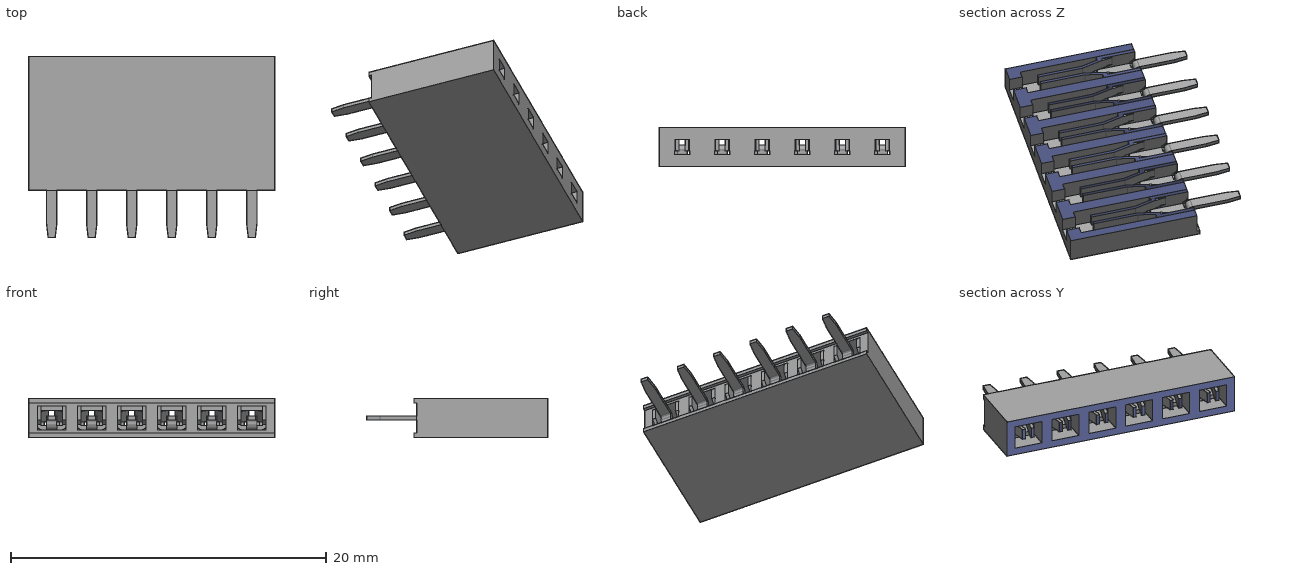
import cadquery as cq

PIN_COUNT = 6
PITCH = 2.54
PIN_X = [(i - (PIN_COUNT - 1) / 2) * PITCH for i in range(PIN_COUNT)]

END_MARGIN = 1.47
HOUSING_WIDTH = (PIN_COUNT - 1) * PITCH + 2 * END_MARGIN
HOUSING_HEIGHT = 2.5
HOUSING_LENGTH = 8.5
LIP_DEPTH = 0.18
LIP_THICKNESS = 0.3
BODY_LENGTH = HOUSING_LENGTH - LIP_DEPTH

POCKET_WIDTH = 1.82
POCKET_HEIGHT = 1.5
END_WALL = 0.85
POCKET_DEPTH = BODY_LENGTH - END_WALL
ENTRY_SIZE = 0.94

BASE_THICKNESS = 0.27
WALL_THICKNESS = 0.22
U_CORNER_RADIUS = 0.27
FLOOR_Z = -POCKET_HEIGHT / 2
BASE_TOP_Z = FLOOR_Z + BASE_THICKNESS
WALL_TOP_Z = POCKET_HEIGHT / 2
WALL_INNER_X = POCKET_WIDTH / 2 - WALL_THICKNESS
U_LENGTH = 2.5

LOW_CORNER_Z = -0.41
RAMP_TOP_Z = -0.13

PIN_WIDTH = 0.66
PIN_LENGTH = 3.0
TIP_WIDTH = 0.46
TIP_LENGTH = 0.85
TIP_Y = -(LIP_DEPTH + PIN_LENGTH)
BEND_INNER_RADIUS = 0.05
BEND_OUTER_RADIUS = BEND_INNER_RADIUS + BASE_THICKNESS
DROP_FRONT_Y = 0.03
DROP_BACK_Y = DROP_FRONT_Y + BASE_THICKNESS
BASE_FRONT_Y = DROP_FRONT_Y + BEND_OUTER_RADIUS

TINE_ROOT_Y = 1.5
TINE_KNEE_Y = 3.6
TINE_END_Y = 6.5
TINE_GAP = 0.38
TINE_BOTTOM_Z = -0.25
TINE_ROOT_TOP_Z = 0.36
TINE_TOP_Z = 0.46
TINE_RISE_LENGTH = 0.7


def box(width, length, height, x, front_y, z):
    """Box centred on x and z, running from front_y toward +Y."""
    return cq.Workplane("XY").box(width, length, height).translate((x, front_y + length / 2, z))


def side_plate(profile, width):
    """Extrude a closed YZ profile symmetrically across X."""
    return profile.close().extrude(width / 2, both=True)


def make_housing():
    housing = box(HOUSING_WIDTH, HOUSING_LENGTH, HOUSING_HEIGHT, 0, -LIP_DEPTH, 0)
    recess_height = HOUSING_HEIGHT - 2 * LIP_THICKNESS
    housing = housing.cut(box(HOUSING_WIDTH, LIP_DEPTH, recess_height, 0, -LIP_DEPTH, 0))
    for x in PIN_X:
        housing = housing.cut(box(POCKET_WIDTH, POCKET_DEPTH, POCKET_HEIGHT, x, 0, 0))
        housing = housing.cut(box(ENTRY_SIZE, BODY_LENGTH, ENTRY_SIZE, x, 0, 0))
    return housing


def make_u_sheet():
    """Base and side walls, with the side walls' front edge trimmed to a ramp."""
    channel = box(POCKET_WIDTH, U_LENGTH, POCKET_HEIGHT, 0, 0, 0)
    channel = channel.edges("|Y and <Z").fillet(U_CORNER_RADIUS)
    inner_height = WALL_TOP_Z - BASE_TOP_Z
    inner_z = (WALL_TOP_Z + BASE_TOP_Z) / 2
    channel = channel.cut(box(2 * WALL_INNER_X, U_LENGTH, inner_height, 0, 0, inner_z))
    front_relief = (
        cq.Workplane("YZ")
        .moveTo(0, FLOOR_Z)
        .lineTo(BASE_FRONT_Y, FLOOR_Z)
        .lineTo(BASE_FRONT_Y, LOW_CORNER_Z)
        .lineTo(0, RAMP_TOP_Z)
    )
    return channel.cut(side_plate(front_relief, POCKET_WIDTH))


def make_solder_pin():
    """Straight pin, bent down to the pocket floor and back into the base."""
    pin_top = BASE_THICKNESS / 2
    pin_bottom = -BASE_THICKNESS / 2
    profile = (
        cq.Workplane("YZ")
        .moveTo(TIP_Y, pin_bottom)
        .lineTo(DROP_FRONT_Y - BEND_INNER_RADIUS, pin_bottom)
        .radiusArc((DROP_FRONT_Y, pin_bottom - BEND_INNER_RADIUS), BEND_INNER_RADIUS)
        .lineTo(DROP_FRONT_Y, FLOOR_Z + BEND_OUTER_RADIUS)
        .radiusArc((BASE_FRONT_Y, FLOOR_Z), -BEND_OUTER_RADIUS)
        .lineTo(BASE_FRONT_Y, BASE_TOP_Z)
        .radiusArc((DROP_BACK_Y, BASE_TOP_Z + BEND_INNER_RADIUS), BEND_INNER_RADIUS)
        .lineTo(DROP_BACK_Y, pin_top - BEND_OUTER_RADIUS)
        .radiusArc((DROP_BACK_Y - BEND_OUTER_RADIUS, pin_top), -BEND_OUTER_RADIUS)
        .lineTo(TIP_Y, pin_top)
    )
    taper_y = TIP_Y + TIP_LENGTH
    outline = (
        cq.Workplane("XY")
        .moveTo(-TIP_WIDTH / 2, TIP_Y)
        .lineTo(TIP_WIDTH / 2, TIP_Y)
        .lineTo(PIN_WIDTH / 2, taper_y)
        .lineTo(PIN_WIDTH / 2, BASE_FRONT_Y)
        .lineTo(-PIN_WIDTH / 2, BASE_FRONT_Y)
        .lineTo(-PIN_WIDTH / 2, taper_y)
        .close()
        .extrude(HOUSING_HEIGHT / 2, both=True)
    )
    return side_plate(profile, PIN_WIDTH).intersect(outline)


def make_tine():
    """Spring tine on the +X side, leaning inward to a straight contact arm."""
    contact_x = TINE_GAP / 2
    plan = (
        cq.Workplane("XY")
        .moveTo(WALL_INNER_X, TINE_ROOT_Y)
        .lineTo(contact_x, TINE_KNEE_Y)
        .lineTo(contact_x, TINE_END_Y)
        .lineTo(contact_x + WALL_THICKNESS, TINE_END_Y)
        .lineTo(contact_x + WALL_THICKNESS, TINE_KNEE_Y)
        .lineTo(WALL_INNER_X + WALL_THICKNESS, TINE_ROOT_Y)
        .close()
        .extrude(POCKET_HEIGHT / 2, both=True)
    )
    profile = (
        cq.Workplane("YZ")
        .moveTo(TINE_ROOT_Y, TINE_BOTTOM_Z)
        .lineTo(TINE_END_Y, TINE_BOTTOM_Z)
        .lineTo(TINE_END_Y, TINE_TOP_Z)
        .lineTo(TINE_ROOT_Y + TINE_RISE_LENGTH, TINE_TOP_Z)
        .lineTo(TINE_ROOT_Y, TINE_ROOT_TOP_Z)
    )
    return plan.intersect(side_plate(profile, POCKET_WIDTH))


def make_contact():
    tine = make_tine()
    contact = make_u_sheet().union(make_solder_pin())
    return contact.union(tine).union(tine.mirror("YZ"))


housing = make_housing().solids()
contact = make_contact().solids()
contacts = [contact.translate((x, 0, 0)) for x in PIN_X]

result = cq.Compound.makeCompound([housing.val(), *[copy.val() for copy in contacts]])